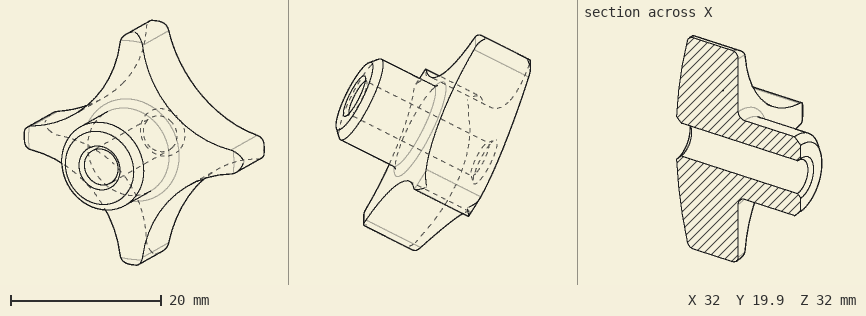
import cadquery as cq
import math


grip_radius = 16.0
dome_radius = 65.0
dome_height = 10.0
rim_fillet = 1.0
arm_count = 4
scallop_radius = 15.0
arm_tip_radius = 1.66

boss_radius = 6.0
boss_length = 10.0
boss_chamfer = 1.0
boss_fillet = 1.0

bore_diameter = 4.917
boss_mouth_diameter = 6.0
dome_mouth_diameter = 6.5

overshoot = 1.0

bore_radius = bore_diameter / 2
boss_mouth_radius = boss_mouth_diameter / 2
dome_mouth_radius = dome_mouth_diameter / 2


def revolve_about_axis(profile):
    """Turn a profile drawn as (radius, Y) around the Y axis."""
    return profile.revolve(360, (0, 0, 0), (0, 1, 0))


def dome_surface(radius):
    """Y of the dome at a distance from the axis."""
    return dome_height - dome_radius + math.sqrt(dome_radius**2 - radius**2)


def make_domed_disc():
    """Round disc with a spherical dome and rounded rim edges."""
    mid_radius = grip_radius / 2
    profile = (
        cq.Workplane("XY")
        .lineTo(grip_radius, 0)
        .lineTo(grip_radius, dome_surface(grip_radius))
        .threePointArc((mid_radius, dome_surface(mid_radius)), (0, dome_height))
        .close()
    )
    disc = revolve_about_axis(profile).edges("%CIRCLE").fillet(rim_fillet)
    return disc.rotate((0, 0, 0), (0, 1, 0), 180 / arm_count)


def make_star_prism():
    """Star-shaped prism: rounded arm tips joined tangentially by concave scallops."""
    tip_center = grip_radius - arm_tip_radius
    half_pitch = math.pi / arm_count
    center_gap = scallop_radius + arm_tip_radius
    scallop_center = tip_center * math.cos(half_pitch) + math.sqrt(
        center_gap**2 - (tip_center * math.sin(half_pitch)) ** 2
    )
    scallop_bottom = scallop_center - scallop_radius
    share = arm_tip_radius / center_gap
    tangent_x = tip_center + share * (scallop_center * math.cos(half_pitch) - tip_center)
    tangent_z = share * scallop_center * math.sin(half_pitch)
    tangent_radius = math.hypot(tangent_x, tangent_z)
    tangent_angle = math.atan2(tangent_z, tangent_x)

    def polar(radius, angle):
        return (radius * math.cos(angle), radius * math.sin(angle))

    outline = cq.Workplane("XZ").moveTo(*polar(tangent_radius, -tangent_angle))
    for arm in range(arm_count):
        angle = 2 * half_pitch * arm
        next_angle = angle + 2 * half_pitch
        outline = outline.threePointArc(
            polar(grip_radius, angle), polar(tangent_radius, angle + tangent_angle)
        ).threePointArc(
            polar(scallop_bottom, angle + half_pitch),
            polar(tangent_radius, next_angle - tangent_angle),
        )
    return outline.close().extrude(-(dome_height + overshoot))


def make_boss():
    """Boss with a chamfered end and a concave fillet where it meets the grip."""
    profile = (
        cq.Workplane("XY")
        .lineTo(boss_radius + boss_fillet, 0)
        .radiusArc((boss_radius, -boss_fillet), -boss_fillet)
        .lineTo(boss_radius, boss_chamfer - boss_length)
        .lineTo(boss_radius - boss_chamfer, -boss_length)
        .lineTo(0, -boss_length)
        .close()
    )
    return revolve_about_axis(profile)


def make_bore():
    """Through bore, countersunk at 45 degrees at the boss end and at the dome."""
    boss_countersink = boss_mouth_radius - bore_radius
    dome_countersink = dome_mouth_radius - bore_radius
    dome_mouth = dome_surface(dome_mouth_radius)
    profile = (
        cq.Workplane("XY")
        .moveTo(0, -boss_length)
        .lineTo(boss_mouth_radius, -boss_length)
        .lineTo(bore_radius, boss_countersink - boss_length)
        .lineTo(bore_radius, dome_mouth - dome_countersink)
        .lineTo(dome_mouth_radius, dome_mouth)
        .lineTo(dome_mouth_radius, dome_height + overshoot)
        .lineTo(0, dome_height + overshoot)
        .close()
    )
    return revolve_about_axis(profile)


grip = make_domed_disc().intersect(make_star_prism())
result = grip.union(make_boss()).cut(make_bore())